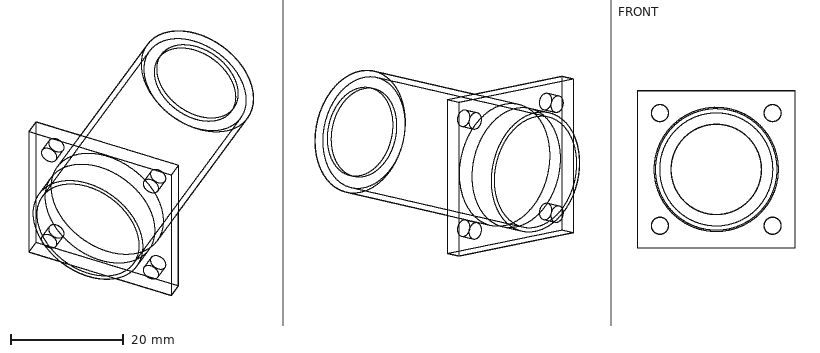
import cadquery as cq

total_length = 45.35
flange_side = 28.0
flange_thickness = 3.0
spigot_length = 5.0
spigot_diameter = 21.6
tube_diameter = 22.1
bore_diameter = 20.1
end_opening_diameter = 16.0
screw_hole_diameter = 3.0
screw_hole_spacing = 20.0

end_lip_thickness = (tube_diameter - bore_diameter) / 2
bore_depth = total_length - end_lip_thickness
tube_length = total_length - spigot_length - flange_thickness


def section_at(y):
    """Workplane across the tube axis at y, with its normal toward +Y."""
    return cq.Workplane("XZ", origin=(0, y, 0)).transformed(rotate=(180, 0, 0))


def cylinder(start_y, diameter, length):
    return section_at(start_y).circle(diameter / 2).extrude(length)


spigot = cylinder(0, spigot_diameter, spigot_length)
flange = section_at(spigot_length).rect(flange_side, flange_side).extrude(flange_thickness)
tube = cylinder(spigot_length + flange_thickness, tube_diameter, tube_length)
body = spigot.union(flange).union(tube)

bore = cylinder(0, bore_diameter, bore_depth)
end_opening = cylinder(0, end_opening_diameter, total_length)

screw_holes = (
    section_at(spigot_length)
    .rect(screw_hole_spacing, screw_hole_spacing, forConstruction=True)
    .vertices()
    .circle(screw_hole_diameter / 2)
    .extrude(flange_thickness)
)

result = body.cut(bore).cut(end_opening).cut(screw_holes)